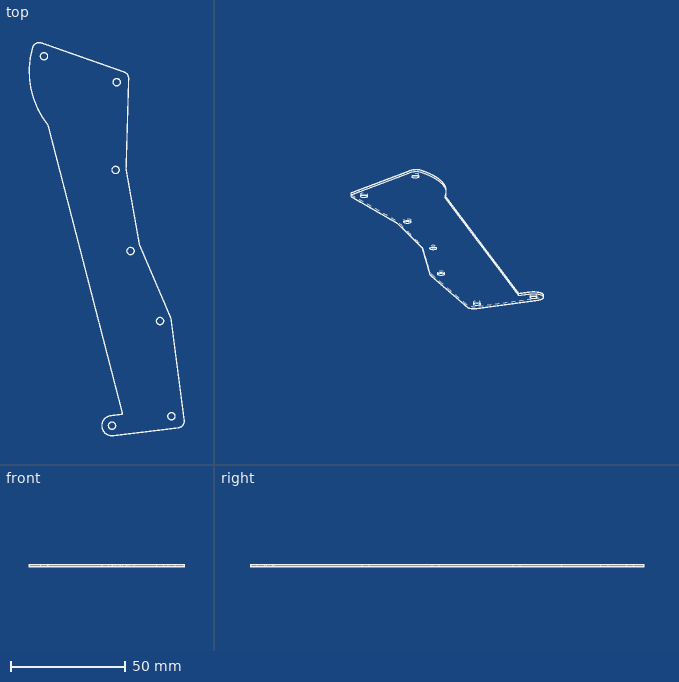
import cadquery as cq
import math

thickness = 1.0
hole_diameter = 3.1
corner_radius = 3.1

lug_center = (36.3, 4.5)
lug_radius = 4.5
foot_angle = math.radians(6.9)
lug_top_length = 5.2

bottom_right_x = 68.3
right_kinks = [(62.1, 51.5), (48.4, 83.7), (42.5, 116.7)]
head_right = (43.7, 158.5)
head_left = (2.5, 173.0)
head_arc_middle = (0.5, 153.4)
head_arc_end = (8.3, 136.0)

hole_centers = [
    (6.5, 166.1),
    (38.4, 154.8),
    (37.9, 116.4),
    (44.5, 81.0),
    (57.3, 50.3),
    (62.3, 8.6),
    lug_center,
]


def lug_point(along, across):
    """Point given by its distances along and across the foot from the lug center."""
    cosine, sine = math.cos(foot_angle), math.sin(foot_angle)
    return (
        lug_center[0] + along * cosine - across * sine,
        lug_center[1] + along * sine + across * cosine,
    )


lug_bottom = lug_point(0, -lug_radius)
bottom_right = (
    bottom_right_x,
    lug_bottom[1] + (bottom_right_x - lug_bottom[0]) * math.tan(foot_angle),
)


def make_plate():
    """Extrude the outline with sharp corners."""
    return (
        cq.Workplane("XY")
        .moveTo(*lug_bottom)
        .lineTo(*bottom_right)
        .polyline(right_kinks + [head_right, head_left], includeCurrent=True)
        .threePointArc(head_arc_middle, head_arc_end)
        .lineTo(*lug_point(lug_top_length, lug_radius))
        .lineTo(*lug_point(0, lug_radius))
        .threePointArc(lug_point(-lug_radius, 0), lug_bottom)
        .close()
        .extrude(thickness)
    )


def round_corners(plate):
    """Round the two head corners and the bottom right corner."""
    for x, y in [head_left, head_right, bottom_right]:
        corner = cq.selectors.NearestToPointSelector((x, y, thickness / 2))
        plate = plate.edges("|Z").edges(corner).fillet(corner_radius)
    return plate


def drill_holes(plate):
    """Cut the screw holes through the plate."""
    holes = (
        cq.Workplane("XY")
        .pushPoints(hole_centers)
        .circle(hole_diameter / 2)
        .extrude(thickness)
    )
    return plate.cut(holes)


result = drill_holes(round_corners(make_plate()))